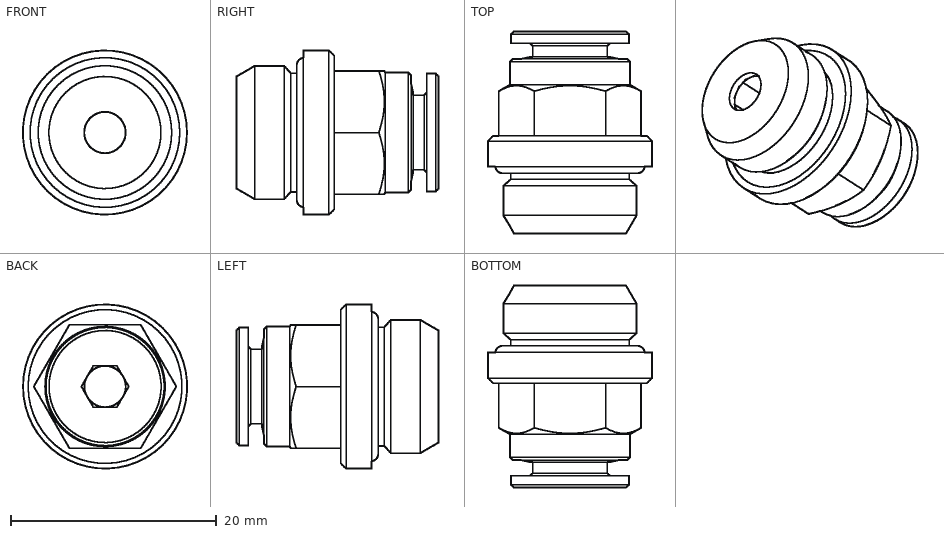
import cadquery as cq
import math

length = 19.7

tip_radius = 5.45
nose_radius = 6.5
tip_taper_end = 1.8
nose_straight_end = 4.65
nose_end = 5.3
neck_radius = 5.8

ring_outer_radius = 7.29
ring_front = 5.87

flange_radius = 8.0
flange_start = 6.52
flange_end = 9.53
flange_chamfer = 0.51

hex_across_flats = 12.02
hex_end = 14.5
hex_bevel_angle = 30.0

collar_radius = 5.85
collar_end = 17.02
collar_chamfer = 0.28
collar_cone_radius = 4.77
collar_cone_top_radius = 3.9
collar_cone_end = 17.22

stem_radius = 3.65
stem_flare_start = 18.28
stem_flare_radius = 3.9
button_radius = 5.75
button_start = 18.52
button_chamfer = 0.3

bore_radius = 2.0
bore_depth = 0.79


def revolve_y(points):
    """Turn an outline of (radius, Y) points about the Y axis."""
    return cq.Workplane("XY").polyline(points).close().revolve(360, (0, 0, 0), (0, 1, 0))


def hex_prism(across_flats, start, end):
    """Hexagonal prism along Y with two corners on the X axis."""
    across_corners = across_flats / math.cos(math.radians(30))
    return (
        cq.Workplane("XZ", origin=(0, start, 0))
        .polygon(6, across_corners)
        .extrude(start - end)
    )


def turned_body():
    return revolve_y([
        (0, 0),
        (tip_radius, 0),
        (nose_radius, tip_taper_end),
        (nose_radius, nose_straight_end),
        (neck_radius, nose_end),
        (neck_radius, flange_start),
        (flange_radius, flange_start),
        (flange_radius, flange_end - flange_chamfer),
        (flange_radius - flange_chamfer, flange_end),
        (collar_radius, flange_end),
        (collar_radius, collar_end - collar_chamfer),
        (collar_radius - collar_chamfer, collar_end),
        (collar_cone_radius, collar_end),
        (collar_cone_top_radius, collar_cone_end),
        (stem_radius, collar_cone_end),
        (stem_radius, stem_flare_start),
        (stem_flare_radius, button_start),
        (button_radius, button_start),
        (button_radius, length - button_chamfer),
        (button_radius - button_chamfer, length),
        (0, length),
    ])


def sealing_ring():
    section_radius = (ring_outer_radius - neck_radius) / 2
    centre_radius = ring_outer_radius - section_radius
    return (
        cq.Workplane("XY")
        .center(centre_radius, ring_front + section_radius)
        .circle(section_radius)
        .revolve(360, (-centre_radius, 0, 0), (-centre_radius, 1, 0))
    )


def wrench_hexagon():
    """Hexagon whose corners are bevelled by a cone at the collar end."""
    bevel_drop = (flange_radius - collar_radius) * math.tan(math.radians(hex_bevel_angle))
    bevel_envelope = revolve_y([
        (0, flange_start),
        (flange_radius, flange_start),
        (flange_radius, hex_end - bevel_drop),
        (collar_radius, hex_end),
        (0, hex_end),
    ])
    return hex_prism(hex_across_flats, flange_start, hex_end).intersect(bevel_envelope)


def passage():
    bore = cq.Workplane("XZ").circle(bore_radius).extrude(-bore_depth)
    key_socket = hex_prism(2 * bore_radius, bore_depth, length)
    return bore.union(key_socket)


result = turned_body().union(wrench_hexagon()).union(sealing_ring()).cut(passage())